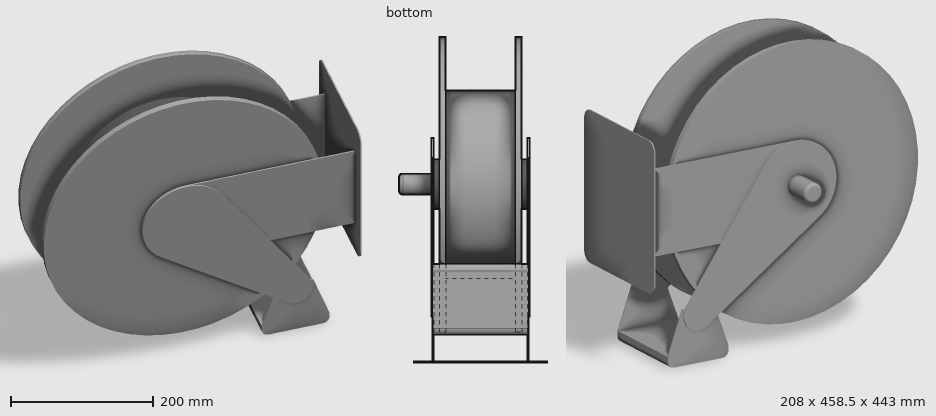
import cadquery as cq
import math


flange_diameter = 415.0
drum_diameter = 264.0
hub_diameter = 70.0
flange_outer_x = 58.0
flange_thickness = 8.5

shaft_diameter = 30.0
shaft_end_x = -114.5
shaft_end_rounding = 5.0

sheet = 2.0
side_inner_x = 65.5
side_outer_x = side_inner_x + sheet

overall_depth = 458.5
wall_y = overall_depth - flange_diameter / 2
wall_plate_width = 187.0
wall_plate_height = 227.0
wall_plate_corner_radius = 15.0
bracket_radius = 65.0

arm_length = 229.2
arm_angle = math.radians(45)
arm_tip_radius = 24.8
arm_tip_y = arm_length * math.cos(arm_angle)
arm_tip_z = -arm_length * math.sin(arm_angle)

foot_bottom_z = -235.5
foot_top_z = -152.0
foot_bar_top_z = -218.2
foot_top_half_width = 26.0
foot_half_width = 50.0
foot_corner_radius = 9.5


def disc(diameter, half_length):
    """Cylinder on the reel axis, centred on the origin."""
    return cq.Workplane("YZ").circle(diameter / 2).extrude(half_length, both=True)


def side_pair(outline, inner_x):
    """Sheet with the given YZ outline on the +X side, plus its mirror image."""
    plate = outline.extrude(sheet).translate((inner_x, 0, 0))
    return plate.union(plate.mirror("YZ"))


def polar(center_y, center_z, radius, angle):
    return (center_y + radius * math.cos(angle), center_z + radius * math.sin(angle))


def make_reel():
    flanges = disc(flange_diameter, flange_outer_x)
    groove = disc(flange_diameter, flange_outer_x - flange_thickness)
    drum = disc(drum_diameter, flange_outer_x)
    hubs = disc(hub_diameter, side_inner_x)
    return flanges.cut(groove).union(drum).union(hubs)


def make_shaft():
    stub = cq.Workplane("YZ").circle(shaft_diameter / 2).extrude(shaft_end_x)
    return stub.faces("<X").edges().fillet(shaft_end_rounding)


def make_wall_plate():
    plate = cq.Workplane("XY").box(wall_plate_width, sheet, wall_plate_height)
    plate = plate.edges("|Y").fillet(wall_plate_corner_radius)
    return plate.translate((0, wall_y - sheet / 2, 0))


def make_brackets():
    outline = (
        cq.Workplane("YZ")
        .moveTo(wall_y, bracket_radius)
        .lineTo(0, bracket_radius)
        .threePointArc((-bracket_radius, 0), (0, -bracket_radius))
        .lineTo(wall_y, -bracket_radius)
        .close()
    )
    return side_pair(outline, side_inner_x)


def make_arms():
    direction = -arm_angle
    tangent = math.acos((bracket_radius - arm_tip_radius) / arm_length)
    upper = direction + tangent
    lower = direction - tangent
    outline = (
        cq.Workplane("YZ")
        .moveTo(*polar(0, 0, bracket_radius, upper))
        .threePointArc(
            polar(0, 0, bracket_radius, direction + math.pi),
            polar(0, 0, bracket_radius, lower),
        )
        .lineTo(*polar(arm_tip_y, arm_tip_z, arm_tip_radius, lower))
        .threePointArc(
            polar(arm_tip_y, arm_tip_z, arm_tip_radius, direction),
            polar(arm_tip_y, arm_tip_z, arm_tip_radius, upper),
        )
        .close()
    )
    return side_pair(outline, side_outer_x)


def make_foot():
    cheek_outline = cq.Workplane("YZ").polyline([
        (arm_tip_y - foot_top_half_width, foot_top_z),
        (arm_tip_y + foot_top_half_width, foot_top_z),
        (arm_tip_y + foot_half_width, foot_bar_top_z),
        (arm_tip_y + foot_half_width, foot_bottom_z),
        (arm_tip_y - foot_half_width, foot_bottom_z),
        (arm_tip_y - foot_half_width, foot_bar_top_z),
    ]).close()
    cheeks = side_pair(cheek_outline, side_inner_x)
    cheeks = cheeks.edges("|X and <Z").fillet(foot_corner_radius)

    bar_height = foot_bar_top_z - foot_bottom_z
    bar = (
        cq.Workplane("XY")
        .box(2 * side_outer_x, 2 * foot_half_width, bar_height, centered=(True, True, False))
        .edges("|X and <Z")
        .fillet(foot_corner_radius)
        .translate((0, arm_tip_y, foot_bottom_z))
    )
    return cheeks.union(bar)


result = (
    make_reel()
    .union(make_shaft())
    .union(make_wall_plate())
    .union(make_brackets())
    .union(make_arms())
    .union(make_foot())
)